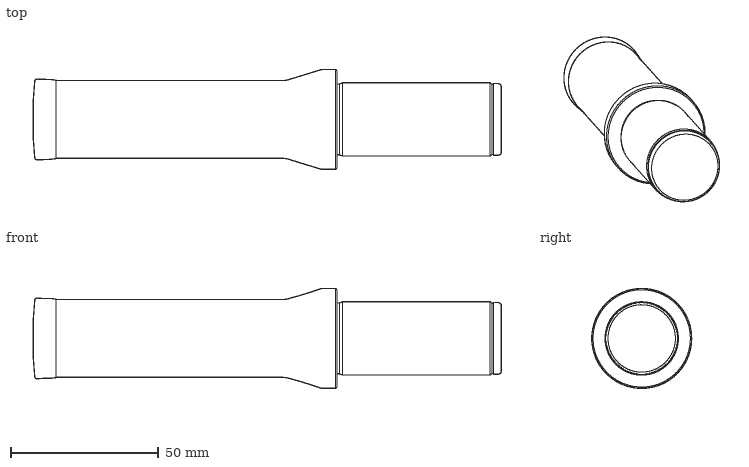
import cadquery as cq
import math

overall_length = 159.0

head_length = 7.8
cutting_radius = 27.5 / 2
cutting_band_end = 6.2
band_end_radius = 27.2 / 2
head_rear_radius = 26.7 / 2
tip_rounding_end = 1.3
tip_face_radius = 25.8 / 2
tip_cone_rise = 0.5
dimple_radius = 13.4 / 2
dimple_depth = 0.6

body_radius = 26.5 / 2
collar_radius = 34.0 / 2
flare_start = 84.9
flare_angle = math.radians(18)
flare_blend_length = 1.9
collar_blend_length = 1.0
collar_blend_end = 98.5
collar_end = 103.2
collar_chamfer = 0.5

shank_radius = 25.0 / 2
neck_radius = 24.2 / 2
neck_end = 104.0
neck_taper_length = 1.1
shank_end = 155.2
shank_end_taper_length = 0.6
end_groove_radius = 24.0 / 2
end_groove_width = 0.5
end_band_radius = 24.5 / 2
end_rounding_length = 1.3
end_rounding_depth = 0.8


def revolve_about_axis(profile):
    return profile.close().revolve(360, (0, 0, 0), (1, 0, 0))


def make_cutting_head():
    """Short head with a rounded rim, shallow conical end face and central dimple."""
    rim_bulge = math.sqrt(0.5)
    rim_middle = (
        tip_rounding_end - (tip_rounding_end - tip_cone_rise) * rim_bulge,
        tip_face_radius + (cutting_radius - tip_face_radius) * rim_bulge,
    )
    profile = (
        cq.Workplane("XY")
        .moveTo(head_length, 0)
        .lineTo(head_length, head_rear_radius)
        .lineTo(cutting_band_end, band_end_radius)
        .lineTo(tip_rounding_end, cutting_radius)
        .threePointArc(rim_middle, (tip_cone_rise, tip_face_radius))
        .lineTo(0, dimple_radius)
        .lineTo(dimple_depth, 0)
    )
    return revolve_about_axis(profile)


def make_holder():
    """Round body, flared collar and shank behind the cutting head."""
    blend_slope = math.tan(flare_angle / 2)
    flare_blend_end = flare_start + flare_blend_length
    flare_blend_radius = body_radius + flare_blend_length * blend_slope
    cone_end = collar_blend_end - collar_blend_length
    cone_end_radius = collar_radius - collar_blend_length * blend_slope
    end_groove_start = shank_end + shank_end_taper_length
    end_band_start = end_groove_start + end_groove_width

    profile = (
        cq.Workplane("XY")
        .moveTo(head_length, 0)
        .lineTo(head_length, body_radius)
        .lineTo(flare_start, body_radius)
        .tangentArcPoint((flare_blend_end, flare_blend_radius), relative=False)
        .lineTo(cone_end, cone_end_radius)
        .tangentArcPoint((collar_blend_end, collar_radius), relative=False)
        .lineTo(collar_end - collar_chamfer, collar_radius)
        .lineTo(collar_end, collar_radius - collar_chamfer)
        .lineTo(collar_end, neck_radius)
        .lineTo(neck_end, neck_radius)
        .lineTo(neck_end + neck_taper_length, shank_radius)
        .lineTo(shank_end, shank_radius)
        .lineTo(end_groove_start, end_groove_radius)
        .lineTo(end_band_start, end_groove_radius)
        .lineTo(end_band_start, end_band_radius)
        .lineTo(overall_length - end_rounding_length, end_band_radius)
        .tangentArcPoint((overall_length, end_band_radius - end_rounding_depth), relative=False)
        .lineTo(overall_length, 0)
    )
    return revolve_about_axis(profile)


cutting_head = make_cutting_head()
holder = make_holder()

result = cq.Compound.makeCompound([cutting_head.val(), holder.val()])